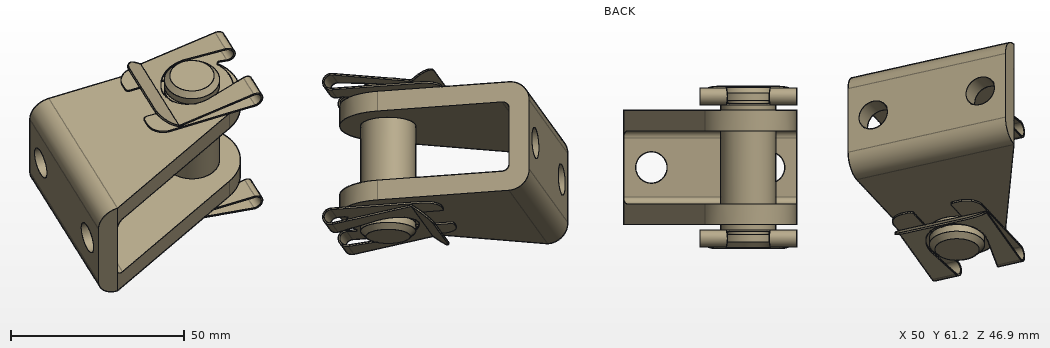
import cadquery as cq
import math


bracket_width = 50.0
bracket_height = 33.05
wall = 6.0
nose_radius = 14.0
back_y = -45.0
outer_bend_radius = 6.0
inner_bend_radius = 2.0
mount_hole_diameter = 9.0
mount_hole_inset = 8.0

pin_diameter = 16.0
pin_length = 46.15
pin_chamfer = 1.6
groove_diameter = 12.0
groove_width = 1.3
groove_start = 18.0

clip_width = 2 * nose_radius
clip_thickness = 0.5
clip_front_y = -18.0
clip_rear_y = 16.2
loop_outer_radius = 2.5
valley_y, valley_z = -10.15, 19.05
ear_y, ear_z = -15.65, 23.25
clip_corner_radius = 5.0
keyhole_radius = 9.0
notch_mouth_half = 6.0
notch_floor_radius = 12.0
small_corner_radius = 1.0

left_x = -nose_radius
right_x = left_x + bracket_width
bend_line_y = back_y + outer_bend_radius


def tangent_point(x, y, radius):
    """Touch point of the line from (x, y), x > 0, to the +X side of a circle about the origin."""
    angle = math.atan2(y, x)
    turn = math.acos(radius / math.hypot(x, y))
    angle += turn if y < 0 else -turn
    return radius * math.cos(angle), radius * math.sin(angle)


def make_bracket():
    plan = (
        cq.Workplane("XY", origin=(0, 0, -bracket_height / 2))
        .moveTo(left_x, back_y)
        .lineTo(right_x, back_y)
        .lineTo(right_x, bend_line_y)
        .lineTo(*tangent_point(right_x, bend_line_y, nose_radius))
        .threePointArc((0, nose_radius), (left_x, 0))
        .close()
        .extrude(bracket_height)
    )
    body = plan.edges("|X and <Y").fillet(outer_bend_radius)

    inner_y = back_y + wall
    gap_depth = nose_radius - inner_y
    gap = (
        cq.Workplane("XY")
        .box(bracket_width, gap_depth, bracket_height - 2 * wall, centered=(False, False, True))
        .edges("|X and <Y")
        .fillet(inner_bend_radius)
        .translate((left_x, inner_y, 0))
    )
    pin_hole = cq.Workplane("XY").circle(pin_diameter / 2).extrude(bracket_height, both=True)
    mount_holes = (
        cq.Workplane("XZ", origin=(0, inner_y, 0))
        .pushPoints([(left_x + mount_hole_inset, 0), (right_x - mount_hole_inset, 0)])
        .circle(mount_hole_diameter / 2)
        .extrude(wall)
    )
    return body.cut(gap).cut(pin_hole).cut(mount_holes)


def make_pin():
    pin = (
        cq.Workplane("XY")
        .circle(pin_diameter / 2)
        .extrude(pin_length / 2, both=True)
        .faces("<Z or >Z")
        .chamfer(pin_chamfer)
    )
    groove = (
        cq.Workplane("XY", origin=(0, 0, groove_start))
        .circle(pin_diameter / 2)
        .circle(groove_diameter / 2)
        .extrude(groove_width)
    )
    return pin.cut(groove).cut(groove.mirror("XY"))


loop_y = clip_rear_y - loop_outer_radius
loop_z = groove_start + loop_outer_radius
loop_inner_radius = loop_outer_radius - clip_thickness


def make_clip_strip():
    """Bent strip of full width, with rounded corners on the ear and on the flat plate."""
    half = clip_thickness / 2
    loop_distance = math.hypot(loop_y - valley_y, loop_z - valley_z)
    arm_angle = math.atan2(loop_z - valley_z, loop_y - valley_y)
    arm_angle += math.asin((loop_outer_radius - half) / loop_distance)
    ear_angle = math.atan2(ear_z - valley_z, valley_y - ear_y)
    arm_normal = (-math.sin(arm_angle), math.cos(arm_angle))
    ear_normal = (math.sin(ear_angle), math.cos(ear_angle))
    miter_scale = half / (1 + arm_normal[0] * ear_normal[0] + arm_normal[1] * ear_normal[1])
    miter_y = miter_scale * (arm_normal[0] + ear_normal[0])
    miter_z = miter_scale * (arm_normal[1] + ear_normal[1])

    def on_loop(radius):
        """Point where the loop runs into the arm."""
        return loop_y + radius * arm_normal[0], loop_z + radius * arm_normal[1]

    strip = (
        cq.Workplane("YZ", origin=(-clip_width / 2, 0, 0))
        .moveTo(clip_front_y, groove_start)
        .lineTo(loop_y, groove_start)
        .threePointArc((clip_rear_y, loop_z), on_loop(loop_outer_radius))
        .lineTo(valley_y + miter_y, valley_z + miter_z)
        .lineTo(ear_y + half * ear_normal[0], ear_z + half * ear_normal[1])
        .lineTo(ear_y - half * ear_normal[0], ear_z - half * ear_normal[1])
        .lineTo(valley_y - miter_y, valley_z - miter_z)
        .lineTo(*on_loop(loop_inner_radius))
        .threePointArc((loop_y + loop_inner_radius, loop_z), (loop_y, groove_start + clip_thickness))
        .lineTo(clip_front_y, groove_start + clip_thickness)
        .close()
        .extrude(clip_width)
    )
    ear_tip = cq.selectors.BoxSelector(
        (-clip_width, ear_y - half, ear_z - half),
        (clip_width, ear_y + half, ear_z + half),
    )
    ear_corners = ear_tip - cq.selectors.ParallelDirSelector(cq.Vector(1, 0, 0))
    return (
        strip.edges("|Z and <Y").fillet(clip_corner_radius)
        .edges(ear_corners).fillet(clip_corner_radius)
    )


def make_clip():
    touch_x, touch_y = tangent_point(notch_mouth_half, clip_rear_y, keyhole_radius)
    keyhole = (
        cq.Workplane("XY", origin=(0, 0, loop_z))
        .moveTo(-notch_mouth_half, clip_rear_y)
        .lineTo(-touch_x, touch_y)
        .threePointArc((0, -keyhole_radius), (touch_x, touch_y))
        .lineTo(notch_mouth_half, clip_rear_y)
        .close()
        .extrude(loop_outer_radius, both=True)
    )
    plate_zone = (
        cq.Workplane("XY", origin=(0, 0, groove_start))
        .circle(notch_floor_radius)
        .extrude(clip_thickness)
    )
    floor_corners = cq.selectors.BoxSelector(
        (-keyhole_radius, touch_y, groove_start),
        (keyhole_radius, notch_floor_radius, groove_start + clip_thickness),
    )
    notch = keyhole.cut(plate_zone)
    notch = notch.edges(floor_corners & cq.selectors.ParallelDirSelector(cq.Vector(0, 0, 1)))
    notch = notch.fillet(small_corner_radius)

    slot_half = groove_diameter / 2
    slot = (
        cq.Workplane("XY", origin=(0, 0, groove_start))
        .moveTo(-slot_half, clip_front_y)
        .lineTo(-slot_half, 0)
        .threePointArc((0, slot_half), (slot_half, 0))
        .lineTo(slot_half, clip_front_y)
        .close()
        .extrude(clip_thickness)
    )
    clip = make_clip_strip().cut(notch).cut(slot)
    slot_mouth = cq.selectors.BoxSelector(
        (-slot_half - clip_thickness, clip_front_y - clip_thickness, groove_start),
        (slot_half + clip_thickness, clip_front_y + clip_thickness, groove_start + clip_thickness),
    )
    mouth_corners = slot_mouth & cq.selectors.ParallelDirSelector(cq.Vector(0, 0, 1))
    return clip.edges(mouth_corners).fillet(small_corner_radius)


bracket = make_bracket()
pin = make_pin()
clips = []
for mirrored in (False, True):
    clip = make_clip()
    if mirrored:
        clip = clip.mirror("XY")
    clips.append(clip.val())

result = cq.Compound.makeCompound([bracket.val(), pin.val(), *clips])